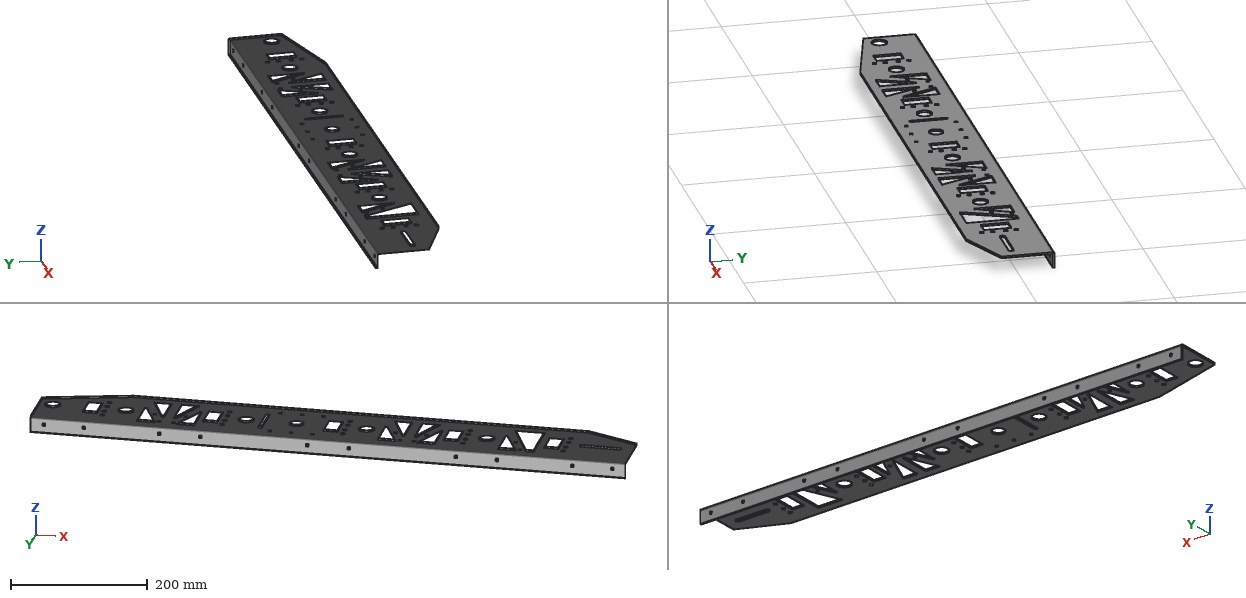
import cadquery as cq

LENGTH = 890.0
WIDTH = 115.0
FLANGE_HEIGHT = 25.0
THICKNESS = 3.0
INNER_BEND_RADIUS = 1.0

END_WIDTH = 80.0
LEFT_TAPER_LENGTH = 129.0
RIGHT_TAPER_LENGTH = 79.0

CENTRE_Y = -60.5
REGULAR_WINDOWS = 4
REGULAR_SPAN = 540.0
PITCH = REGULAR_SPAN / (REGULAR_WINDOWS - 1)
LAST_PITCH = 150.0

WINDOW_X = 80.0
WINDOW_SIZE = (21.0, 41.0)
WINDOW_XS = [WINDOW_X + i * PITCH for i in range(REGULAR_WINDOWS)]
WINDOW_XS.append(WINDOW_XS[-1] + LAST_PITCH)

COLUMN_OFFSET = 20.0
COLUMN_HOLE_DIAMETER = 5.8
COLUMN_HOLE_YS = [CENTRE_Y + dy for dy in (-26.0, -10.0, 10.0, 26.0)]

LARGE_HOLE_DIAMETER = 23.0
LARGE_HOLE_OFFSET = 50.0
END_HOLE_X = 20.5
LARGE_HOLE_XS = [END_HOLE_X] + [x + LARGE_HOLE_OFFSET for x in WINDOW_XS[:REGULAR_WINDOWS]]

BEARING_X = 385.0
BEARING_DIAMETER = 21.0
BOLT_DIAMETER = 4.9
BOLT_PITCH_X = 32.0
BOLT_PITCH_Y = 75.0

CROSS_SLOT_X = 336.0
CROSS_SLOT_SIZE = (58.0, 5.0)
END_SLOT_X = 840.0
END_SLOT_SIZE = (62.0, 8.0)

TRUSS_X = 198.0
TRUSS_XS = [TRUSS_X, TRUSS_X + 2 * PITCH]
HALF_TRUSS_X = TRUSS_X + REGULAR_SPAN
TRUSS_TOP = -21.0
TRUSS_BOTTOM = -100.0
OUTER_TIP_Y = -76.0
INNER_TIP_Y = -44.5
OUTER_EDGE = 43.0
OUTER_TOP = 16.0
OUTER_TIP = 40.0
INNER_EDGE = 7.6
INNER_BOTTOM = 34.0
INNER_TIP = 11.0
HALF_TRUSS_RIGHT = 11.0
STRUT_HOLE_DIAMETER = 4.9
STRUT_HOLES = [(11.0, -27.0), (23.0, -54.0)]

FLANGE_HOLE_OFFSETS = [31.0, 191.0, 253.0, 366.0, 425.0]
FLANGE_HOLE_Z = -12.5
FLANGE_HOLE_DIAMETER = 4.5


def angle_profile():
    """Folded sheet extruded along the full length."""
    outer = cq.Workplane("YZ").rect(-WIDTH, -FLANGE_HEIGHT, centered=False).extrude(LENGTH)
    inner = (
        cq.Workplane("YZ")
        .moveTo(-THICKNESS, -THICKNESS)
        .rect(-WIDTH, -FLANGE_HEIGHT, centered=False)
        .extrude(LENGTH)
    )
    inner = inner.edges("|X and >Y and >Z").fillet(INNER_BEND_RADIUS)
    outer = outer.edges("|X and >Y and >Z").fillet(INNER_BEND_RADIUS + THICKNESS)
    return outer.cut(inner)


def web_prism(points):
    """Prism through the web under a closed outline."""
    return cq.Workplane("XY").polyline(points).close().extrude(-THICKNESS)


def web_holes(points, diameter):
    """Round cutters through the web."""
    return cq.Workplane("XY").pushPoints(points).circle(diameter / 2).extrude(-THICKNESS)


def web_slot(x, size, angle):
    """Rounded slot cutter centred on the web's centre line."""
    return cq.Workplane("XY").center(x, CENTRE_Y).slot2D(*size, angle).extrude(-THICKNESS)


def taper(end_x, front_x):
    """Corner cutter from the shortened end to the front edge."""
    return web_prism([(end_x, -END_WIDTH), (end_x, -WIDTH), (front_x, -WIDTH)])


def outer_opening(x, side):
    """Triangle with a narrow flat tip outside a strut; side is -1 for left, 1 for right."""
    offsets = [
        (OUTER_EDGE, TRUSS_TOP),
        (OUTER_TOP, TRUSS_TOP),
        (OUTER_TIP, OUTER_TIP_Y),
        (OUTER_EDGE, OUTER_TIP_Y),
    ]
    return web_prism([(x + side * dx, y) for dx, y in offsets])


def inner_opening(x, side):
    """Triangle with a narrow flat tip between a strut and the central post."""
    offsets = [
        (INNER_EDGE, TRUSS_BOTTOM),
        (INNER_BOTTOM, TRUSS_BOTTOM),
        (INNER_TIP, INNER_TIP_Y),
        (INNER_EDGE, INNER_TIP_Y),
    ]
    return web_prism([(x + side * dx, y) for dx, y in offsets])


def half_truss_opening(x):
    """Wide opening whose left edge continues the strut's slope up to the top edge."""
    slope = (INNER_BOTTOM - INNER_TIP) / (INNER_TIP_Y - TRUSS_BOTTOM)
    top_left = x - INNER_BOTTOM + slope * (TRUSS_TOP - TRUSS_BOTTOM)
    right = x + HALF_TRUSS_RIGHT
    corners = [
        (x - INNER_BOTTOM, TRUSS_BOTTOM),
        (right, TRUSS_BOTTOM),
        (right, TRUSS_TOP),
        (top_left, TRUSS_TOP),
    ]
    return web_prism(corners)


def strut_holes(x, side):
    """Two small holes along a strut."""
    return web_holes([(x + side * dx, y) for dx, y in STRUT_HOLES], STRUT_HOLE_DIAMETER)


def flange_holes():
    """Round cutters through the flange."""
    middle = LENGTH / 2
    points = [(middle + side * dx, FLANGE_HOLE_Z) for dx in FLANGE_HOLE_OFFSETS for side in (-1, 1)]
    return cq.Workplane("XZ").pushPoints(points).circle(FLANGE_HOLE_DIAMETER / 2).extrude(THICKNESS)


result = angle_profile()
result = result.cut(taper(0, LEFT_TAPER_LENGTH))
result = result.cut(taper(LENGTH, LENGTH - RIGHT_TAPER_LENGTH))

windows = (
    cq.Workplane("XY")
    .pushPoints([(x, CENTRE_Y) for x in WINDOW_XS])
    .rect(*WINDOW_SIZE)
    .extrude(-THICKNESS)
)
column_points = [(x + COLUMN_OFFSET, y) for x in WINDOW_XS for y in COLUMN_HOLE_YS]
result = result.cut(windows)
result = result.cut(web_holes(column_points, COLUMN_HOLE_DIAMETER))
result = result.cut(web_holes([(x, CENTRE_Y) for x in LARGE_HOLE_XS], LARGE_HOLE_DIAMETER))

bolt_points = [
    (BEARING_X + i * BOLT_PITCH_X, CENTRE_Y + j * BOLT_PITCH_Y / 2)
    for i in (-1, 0, 1)
    for j in (-1, 1)
]
result = result.cut(web_holes([(BEARING_X, CENTRE_Y)], BEARING_DIAMETER))
result = result.cut(web_holes(bolt_points, BOLT_DIAMETER))

result = result.cut(web_slot(CROSS_SLOT_X, CROSS_SLOT_SIZE, 90))
result = result.cut(web_slot(END_SLOT_X, END_SLOT_SIZE, 0))

for truss_x in TRUSS_XS:
    for side in (-1, 1):
        result = result.cut(outer_opening(truss_x, side))
        result = result.cut(inner_opening(truss_x, side))
        result = result.cut(strut_holes(truss_x, side))
result = result.cut(outer_opening(HALF_TRUSS_X, -1))
result = result.cut(half_truss_opening(HALF_TRUSS_X))
result = result.cut(strut_holes(HALF_TRUSS_X, -1))

result = result.cut(flange_holes())